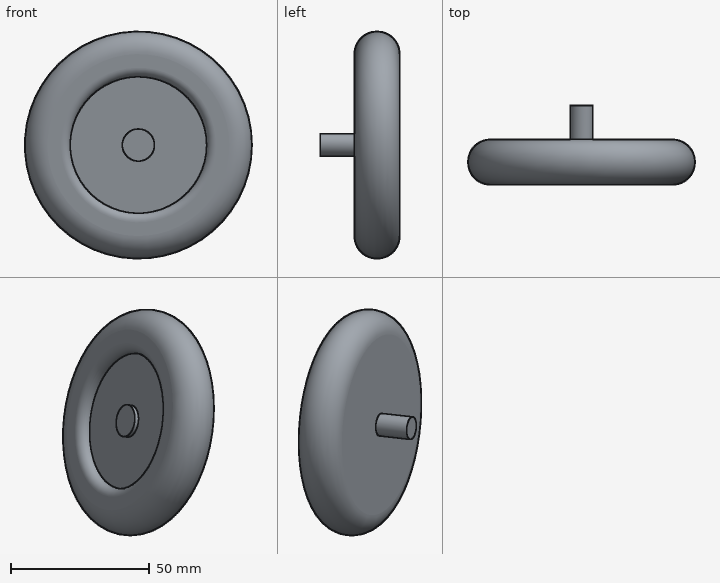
import cadquery as cq

wheel_radius = 41.145
tyre_radius = wheel_radius / 5
axle_radius = wheel_radius / 10
axle_length = 3 * axle_radius
recess_radius = 6 * axle_radius
rim_round = 0.8 * axle_radius
recess_depth = axle_radius
cap_radius = 5.82
cap_height = 0.4 * axle_radius

front_y = -tyre_radius
back_y = tyre_radius
floor_y = front_y + recess_depth


def make_disc(radius, start_y, length):
    """Cylinder on the wheel axis, running from start_y towards +Y."""
    plane = cq.Plane(origin=(0, start_y, 0), xDir=(1, 0, 0), normal=(0, 1, 0))
    return cq.Workplane(plane).circle(radius).extrude(length)


def make_wheel():
    """Revolved wheel: half-round tread, flat faces and a lipped recess at the front."""
    tread_start = wheel_radius - tyre_radius
    lip_outer = recess_radius + rim_round
    profile = (
        cq.Workplane("XY")
        .moveTo(0, floor_y)
        .lineTo(recess_radius, floor_y)
        .lineTo(recess_radius, front_y + rim_round)
        .radiusArc((lip_outer, front_y), -rim_round)
        .lineTo(tread_start, front_y)
        .threePointArc((wheel_radius, 0), (tread_start, back_y))
        .lineTo(0, back_y)
        .close()
    )
    return profile.revolve(360, (0, 0, 0), (0, 1, 0))


hub_cap = make_disc(cap_radius, floor_y - cap_height, cap_height)
axle = make_disc(axle_radius, back_y, axle_length)

result = make_wheel().union(hub_cap).union(axle)